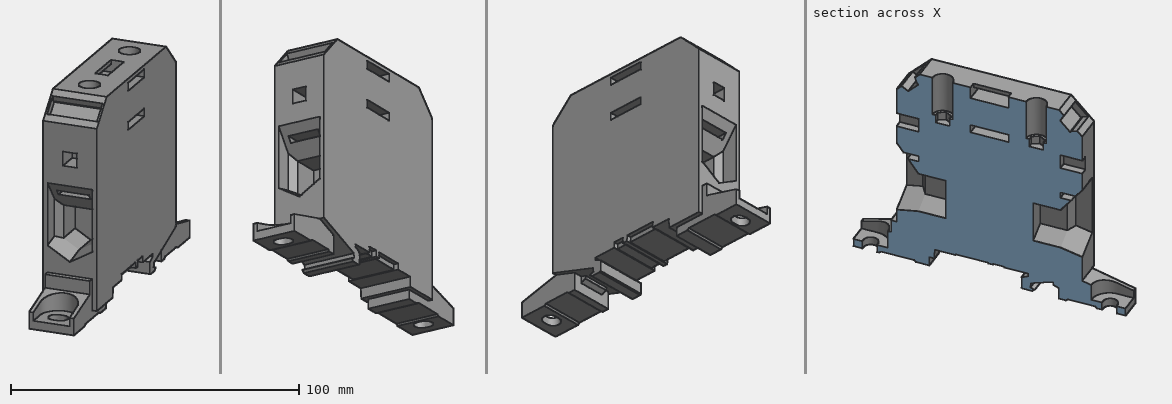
import cadquery as cq
import math

body_width = 20.3
body_half_length = 35.3
body_top = 80.0
body_base = 3.5
corner_chamfer = 8.8
rail_seat_height = 7.2
rail_seat_front = -20.7

foot_width = 16.9
foot_end = 51.7
foot_end_height = 6.3
foot_shoulder_height = 10.2
foot_relief = 0.6
foot_floor = 3.2
foot_inner_end = 26.3
stop_wall_y = 37.4
stop_wall_top = 15.2
latch_nose_width = 10.3
screw_y = 45.5
screw_slot_length = 7.1
screw_slot_width = 5.5
counterbore_radius = 6.8

notch_roof = 9.5
notch_core_bottom = 7.5
notch_spans = [(5.6, 1.3, 1.3), (-12.9, -0.5, -0.8)]

screw_access_y = 17.8
screw_access_diameter = 7.5
screw_access_depth = 15.5
hex_flats = 5.2
hex_depth = 3.1
window_length = 14.3
top_window_width = 4.9
upper_window_bottom = 75.5
upper_window_height = 3.0
lower_window_bottom = 61.0
lower_window_height = 2.9

label_width = 18.7
label_height = 7.0
label_depth = 2.8
label_hook_taper = 1.0
label_hook_taper_depth = 2.0
label_plain_taper = 0.7

entry_width = 16.9
entry_throat_width = 11.8
entry_top = 48.4
entry_throat_top = 37.6
entry_side_bottom = 25.2
entry_tip = 20.3
entry_floor_rise = 1.7
entry_straight_depth = 6.2
entry_depth = 8.3
entry_throat_length = 10.3
entry_slit_width = 12.1
entry_slit_bottom = 43.0
entry_slit_height = 2.1

test_size = 5.3
test_bottom = 55.6
test_depth = 8.3


def extrude_across(points, width):
    """Extrude a closed (y, z) outline symmetrically about the X = 0 plane."""
    return cq.Workplane("YZ").polyline(points).close().extrude(width / 2, both=True)


def box(width, y_start, y_end, z_start, z_end):
    """Box centred on X = 0."""
    return (
        cq.Workplane("XY", origin=(0, (y_start + y_end) / 2, z_start))
        .rect(width, abs(y_end - y_start))
        .extrude(z_end - z_start)
    )


def on_both_ends(tool):
    """Pair a -Y end shape with its copy on the +Y end."""
    return [tool, tool.mirror("XZ")]


def make_body():
    outline = [
        (-body_half_length, body_base),
        (-body_half_length, body_top - corner_chamfer),
        (-body_half_length + corner_chamfer, body_top),
        (body_half_length - corner_chamfer, body_top),
        (body_half_length, body_top - corner_chamfer),
        (body_half_length, foot_shoulder_height),
        (15.8, body_base),
        (15.6, 1.9),
        (17.3, 1.2),
        (16.2, 0.3),
        (12.6, 0.3),
        (12.1, 0.6),
        (12.1, 5.1),
        (14.7, 6.3),
        (14.7, rail_seat_height),
        (rail_seat_front, rail_seat_height),
        (rail_seat_front - 0.3, body_base),
    ]
    return extrude_across(outline, body_width)


def make_front_foot():
    outline = [
        (-foot_end, 0),
        (-foot_end, foot_end_height),
        (-stop_wall_y, foot_shoulder_height),
        (-stop_wall_y, stop_wall_top),
        (-body_half_length, stop_wall_top),
        (-body_half_length, body_base),
        (-22.9, body_base),
        (-22.9, 0),
        (-28.0, 0),
        (-28.7, foot_relief),
        (-41.2, foot_relief),
        (-41.9, 0),
    ]
    return extrude_across(outline, foot_width)


def make_rear_foot():
    outline = [
        (foot_end, 0),
        (foot_end, foot_end_height),
        (body_half_length, foot_shoulder_height),
        (foot_inner_end, rail_seat_height),
        (foot_inner_end, 0),
        (29.1, 0),
        (29.8, foot_relief),
        (40.1, foot_relief),
        (40.8, 0),
    ]
    latch_nose = [
        (foot_inner_end, rail_seat_height),
        (24.0, 6.4),
        (24.2, 5.3),
        (foot_inner_end, 4.3),
    ]
    return extrude_across(outline, foot_width).union(extrude_across(latch_nose, latch_nose_width))


def make_foot_screw_cut():
    slot = (
        cq.Workplane("XY", origin=(0, -screw_y, 0))
        .slot2D(screw_slot_length, screw_slot_width)
        .extrude(foot_shoulder_height)
    )
    counterbore = (
        cq.Workplane("XY", origin=(0, -screw_y, foot_floor))
        .circle(counterbore_radius)
        .extrude(foot_shoulder_height)
    )
    open_end = box(2 * counterbore_radius, -foot_end, -screw_y, foot_floor, foot_shoulder_height)
    return slot.union(counterbore).union(open_end)


def cut_clip_notches(part):
    for start, mouth_end, roof_end in notch_spans:
        outline = [
            (start, 0),
            (mouth_end, 0),
            (mouth_end, rail_seat_height),
            (roof_end, notch_roof),
            (start, notch_roof),
        ]
        notch = extrude_across(outline, body_width)
        core = notch.intersect(box(foot_width, -foot_end, foot_end, notch_core_bottom, notch_roof))
        part = part.cut(notch.cut(core))
    return part


def make_label_pocket(end):
    """Label pocket in the sloping corner at the given end (-1 for -Y, +1 for +Y).

    The hooked edge is the upper one at the -Y end and the lower one at the +Y end.
    """
    middle = corner_chamfer / 2
    slope = cq.Plane(
        origin=(-label_width / 2, end * (body_half_length - middle), body_top - middle),
        xDir=(0, 1, -end),
        normal=(1, 0, 0),
    )
    half = label_height / 2
    hook_floor = half - label_hook_taper
    section = [
        (-half, 0),
        (half, 0),
        (hook_floor, -label_hook_taper_depth),
        (hook_floor, -label_depth),
        (-half + label_plain_taper, -label_depth),
    ]
    return cq.Workplane(slope).polyline(section).close().extrude(label_width)


def entry_section(depth, width):
    """House-shaped funnel section at a depth behind the end face."""
    fraction = depth / entry_depth
    top = entry_top + fraction * (entry_throat_top - entry_top)
    tip = entry_tip + fraction * entry_floor_rise
    side_slope = (entry_side_bottom - entry_tip) / (entry_width / 2)
    side_bottom = tip + side_slope * width / 2
    y = depth - body_half_length
    half = width / 2
    points = [
        (-half, y, top),
        (half, y, top),
        (half, y, side_bottom),
        (0, y, tip),
        (-half, y, side_bottom),
    ]
    return cq.Wire.makePolygon([cq.Vector(*point) for point in points], close=True)


def make_wire_entry():
    mouth = entry_section(0, entry_width)
    bend = entry_section(entry_straight_depth, entry_width)
    throat = entry_section(entry_depth, entry_throat_width)
    outer = cq.Workplane(cq.Solid.makeLoft([mouth, bend], True))
    inner = cq.Workplane(cq.Solid.makeLoft([bend, throat], True))
    slit = box(
        entry_slit_width,
        -body_half_length,
        -body_half_length + entry_depth,
        entry_slit_bottom,
        entry_slit_bottom + entry_slit_height,
    )
    throat_direction = cq.Vector(0, entry_throat_length, 0)
    bore = cq.Workplane(cq.Solid.extrudeLinear(throat, [], throat_direction))
    return outer.union(inner).union(bore).union(slit)


def make_test_opening():
    inner_end = -body_half_length + test_depth
    return box(test_size, -body_half_length, inner_end, test_bottom, test_bottom + test_size)


def make_screw_access():
    floor = body_top - screw_access_depth
    bore = (
        cq.Workplane("XY", origin=(0, -screw_access_y, floor))
        .circle(screw_access_diameter / 2)
        .extrude(screw_access_depth)
    )
    hex_corners = hex_flats / math.cos(math.pi / 6)
    socket = (
        cq.Workplane("XY", origin=(0, -screw_access_y, floor))
        .polygon(6, hex_corners)
        .extrude(-hex_depth)
    )
    return bore.union(socket)


def make_windows():
    half = window_length / 2
    upper_top = upper_window_bottom + upper_window_height
    lower_top = lower_window_bottom + lower_window_height
    upper = box(body_width, -half, half, upper_window_bottom, upper_top)
    lower = box(body_width, -half, half, lower_window_bottom, lower_top)
    top = box(top_window_width, -half, half, upper_window_bottom, body_top)
    return upper.union(top), lower


result = cut_clip_notches(make_body()).union(make_front_foot()).union(make_rear_foot())

end_cuts = [
    make_foot_screw_cut(),
    make_wire_entry(),
    make_test_opening(),
    make_screw_access(),
]
for end_cut in end_cuts:
    for tool in on_both_ends(end_cut):
        result = result.cut(tool)

for end in (-1, 1):
    result = result.cut(make_label_pocket(end))

for window in make_windows():
    result = result.cut(window)